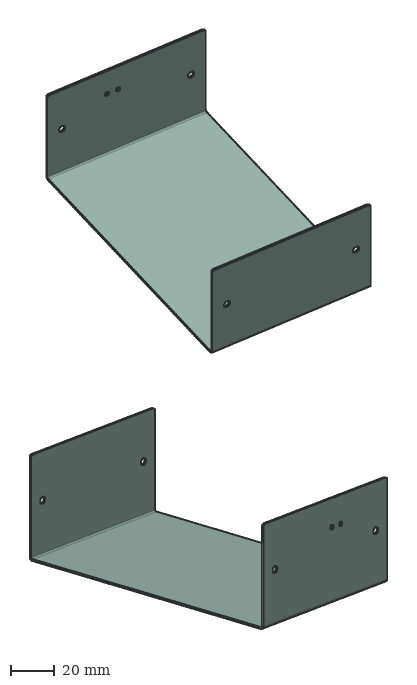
import cadquery as cq

length_x = 142.24
width_y = 85.54
height_z = 51.12
sheet_thickness = 1.016

inner_bend_radius = 0.762
outer_bend_radius = inner_bend_radius + sheet_thickness
corner_radius = 1.5

mounting_hole_diameter = 3.4
mounting_hole_edge_distance = 8.0
mounting_hole_spacing = width_y - 2 * mounting_hole_edge_distance
mounting_hole_height = 27.12

small_hole_diameter = 2.2
small_hole_spacing = 6.0
small_hole_pair_center_y = -7.6
small_hole_height = 37.0


def make_block(size_x, bottom_z):
    """Full-width block centred on X and Y, from bottom_z up to the wall tops."""
    return (
        cq.Workplane("XY")
        .workplane(offset=bottom_z)
        .rect(size_x, width_y)
        .extrude(height_z - bottom_z)
    )


def make_channel():
    """U-shaped channel with rounded bends, open at the top and at both Y ends."""
    outside = make_block(length_x, 0).edges("|Y and <Z").fillet(outer_bend_radius)
    inside = make_block(length_x - 2 * sheet_thickness, sheet_thickness)
    inside = inside.edges("|Y and <Z").fillet(inner_bend_radius)
    return outside.cut(inside)


def round_free_corners(channel):
    """Round the upper corners of both side walls."""
    wall_top = cq.selectors.BoxSelector(
        (-length_x, -width_y, height_z - sheet_thickness),
        (length_x, width_y, height_z + sheet_thickness),
    )
    return channel.edges("|X").edges(wall_top).edges("<Y or >Y").fillet(corner_radius)


def make_hole_pair(diameter, spacing, center_y, height, depth):
    """Two cylinders along X, starting at the outer face of the -X wall."""
    return (
        cq.Workplane("YZ", origin=(-length_x / 2, center_y, height))
        .pushPoints([(-spacing / 2, 0), (spacing / 2, 0)])
        .circle(diameter / 2)
        .extrude(depth)
    )


mounting_holes = make_hole_pair(
    mounting_hole_diameter, mounting_hole_spacing, 0, mounting_hole_height, length_x
)
small_holes = make_hole_pair(
    small_hole_diameter,
    small_hole_spacing,
    small_hole_pair_center_y,
    small_hole_height,
    sheet_thickness,
)

result = round_free_corners(make_channel()).cut(mounting_holes).cut(small_holes)